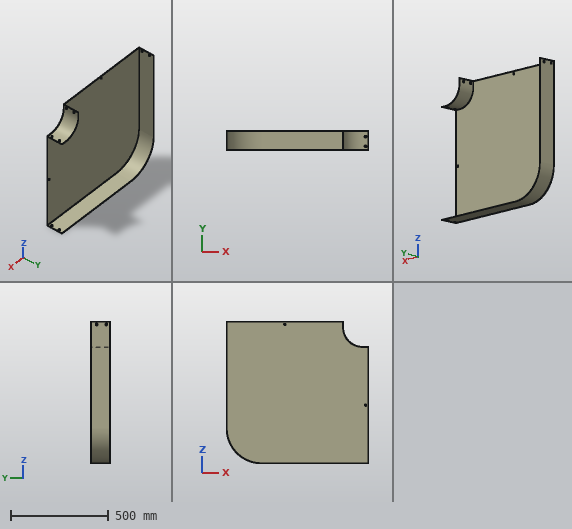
import cadquery as cq
import math

side = 730.0
depth = 100.0
sheet = 1.0

corner_radius = 179.5
notch = 130.0
notch_radius = 100.0

face_hole_diameter = 7.0
wall_hole_diameter = 9.0
hole_inset = 14.5
wall_hole_depths = (20.0, 70.0)

half = side / 2
shoulder = half - notch
face_hole_place = -half + (side - notch) / 2
notch_arc_centre = shoulder + notch_radius


def arc_middle(centre, radius):
    """Coordinate (same in X and Z) of the lower-left midpoint of a quarter arc."""
    return centre - radius * math.sqrt(0.5)


def cover_outline(offset):
    """Open path: left edge, rounded corner and bottom edge, moved inwards by offset."""
    edge = -half + offset
    centre = -half + corner_radius
    middle = arc_middle(centre, corner_radius - offset)
    return [(edge, half), (edge, centre), (middle, middle), (centre, edge), (half, edge)]


def notch_outline(offset):
    """Open path along the notch, moved into the material by offset."""
    edge = shoulder - offset
    middle = arc_middle(notch_arc_centre, notch_radius + offset)
    return [
        (edge, half),
        (edge, notch_arc_centre),
        (middle, middle),
        (notch_arc_centre, edge),
        (half, edge),
    ]


def trace(sketch, path):
    """Draw line, quarter arc, line from the current point, which is path[0]."""
    arc_start, arc_mid, arc_end, end = path[1:]
    return sketch.lineTo(*arc_start).threePointArc(arc_mid, arc_end).lineTo(*end)


def extrude_between(path, opposite_path, length):
    """Close two paths into one outline and extrude it from the front face along +Y."""
    sketch = cq.Workplane("XZ").moveTo(*path[0])
    sketch = trace(sketch, path)
    back = opposite_path[::-1]
    sketch = trace(sketch.lineTo(*back[0]), back)
    return sketch.close().extrude(-length)


def hole_cutter(plane, points, diameter):
    """Cylinders crossing the whole part along the normal of the plane."""
    return cq.Workplane(plane).pushPoints(points).circle(diameter / 2).extrude(side, both=True)


face = extrude_between(cover_outline(0), notch_outline(0), sheet)
outer_wall = extrude_between(cover_outline(0), cover_outline(sheet), depth)
notch_wall = extrude_between(notch_outline(0), notch_outline(sheet), depth)
cover = face.union(outer_wall).union(notch_wall)

edge_line = half - hole_inset
face_holes = [(face_hole_place, edge_line), (edge_line, face_hole_place)]
cover = cover.cut(hole_cutter("XZ", face_holes, face_hole_diameter))

cover = cover.cut(hole_cutter("XY", [(edge_line, y) for y in wall_hole_depths], wall_hole_diameter))
cover = cover.cut(hole_cutter("YZ", [(y, edge_line) for y in wall_hole_depths], wall_hole_diameter))

result = cover.translate((0, -depth / 2, 0))